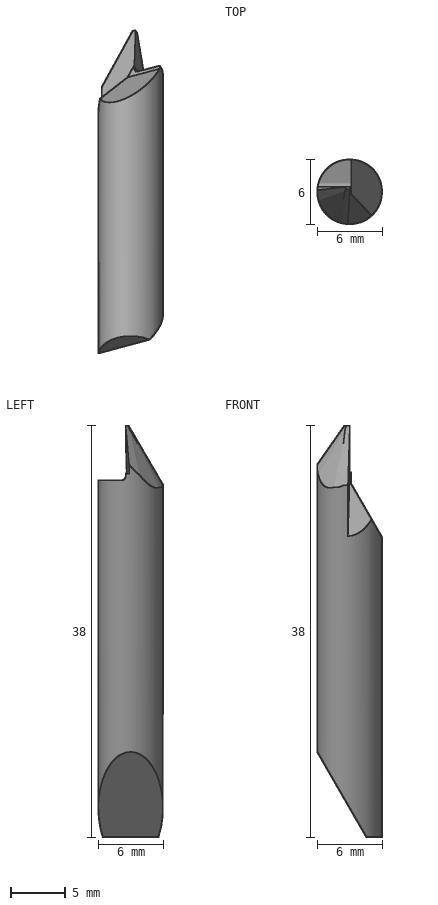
import cadquery as cq
import math

DIAMETER = 6.0
LENGTH = 38.01
RADIUS = DIAMETER / 2
BLOCK = 4 * LENGTH

BEVEL_ANGLE = 30.0
BASE_BEVEL_HEIGHT = 7.86
TOP_BEVEL_DROP = 10.32
TOP_BEVEL_FACE_X = 0.17

NOTCH_DEPTH = 5.05
NOTCH_FACE_Y = 0.46
NOTCH_FILLET = 0.4

RAKE_DEPTH = 4.46
RAKE_Y = 0.5
RAKE_TURN = 4.7
RAKE_LEAN = 1.7

RELIEF_TURN = -3.0
RELIEF_WALL_X = 0.0
RELIEF_DROP = 10.2
RELIEF_FLOOR_ELEVATION = 30.0

CLEARANCE_FACES = [
    (222.0, 30.0, 0.045),
    (233.0, 27.5, 0.005),
    (244.0, 28.0, -0.037),
    (258.0, 30.0, -0.17),
]


def outer_block(point, azimuth, elevation):
    """Block filling the space on the outer side of a plane given by its outward normal."""
    turn = math.radians(azimuth)
    rise = math.radians(elevation)
    normal = (
        math.cos(rise) * math.cos(turn),
        math.cos(rise) * math.sin(turn),
        math.sin(rise),
    )
    across = (-math.sin(turn), math.cos(turn), 0)
    plane = cq.Plane(origin=point, xDir=across, normal=normal)
    return cq.Workplane(plane).rect(BLOCK, BLOCK).extrude(BLOCK)


def space_above(height):
    return outer_block((0, 0, height), 0, 90)


def shank():
    """Round shank with the lower bevel cut across its foot."""
    body = cq.Workplane("XY").circle(RADIUS).extrude(LENGTH)
    return body.cut(outer_block((-RADIUS, 0, BASE_BEVEL_HEIGHT), 180, -BEVEL_ANGLE))


def top_bevel():
    """Space above the upper bevel, on the +X side of its upright face."""
    bevel = outer_block((RADIUS, 0, LENGTH - TOP_BEVEL_DROP), 0, BEVEL_ANGLE)
    return bevel.intersect(outer_block((TOP_BEVEL_FACE_X, 0, 0), 0, 0))


def notch():
    """Space behind the tip, rounded along the inner corner of the notch."""
    width = 2 * DIAMETER
    block = cq.Workplane("XY").box(width, width, width, centered=(True, False, False))
    block = block.edges("<Y and <Z").fillet(NOTCH_FILLET)
    return block.translate((0, NOTCH_FACE_Y, LENGTH - NOTCH_DEPTH))


def rake():
    """Thin wedge ground off the notch face down to a flat step."""
    wedge = outer_block((0, RAKE_Y, LENGTH), 90 + RAKE_TURN, -RAKE_LEAN)
    return wedge.intersect(space_above(LENGTH - RAKE_DEPTH))


def side_relief():
    """Space beside the tip, between the relief wall and the sloping relief floor."""
    floor_point = (0, -RADIUS, LENGTH - RELIEF_DROP)
    floor = outer_block(floor_point, 270 + RELIEF_TURN, RELIEF_FLOOR_ELEVATION)
    return floor.intersect(outer_block((RELIEF_WALL_X, 0, 0), RELIEF_TURN, 0))


def clearance(azimuth, elevation, distance):
    """Space outside one flat clearance face of the tip."""
    turn = math.radians(azimuth)
    rise = math.radians(elevation)
    reach = distance * math.cos(rise)
    point = (
        reach * math.cos(turn),
        reach * math.sin(turn),
        LENGTH + distance * math.sin(rise),
    )
    return outer_block(point, azimuth, elevation)


result = shank().cut(top_bevel()).cut(notch()).cut(rake()).cut(side_relief())
for face in CLEARANCE_FACES:
    result = result.cut(clearance(*face))